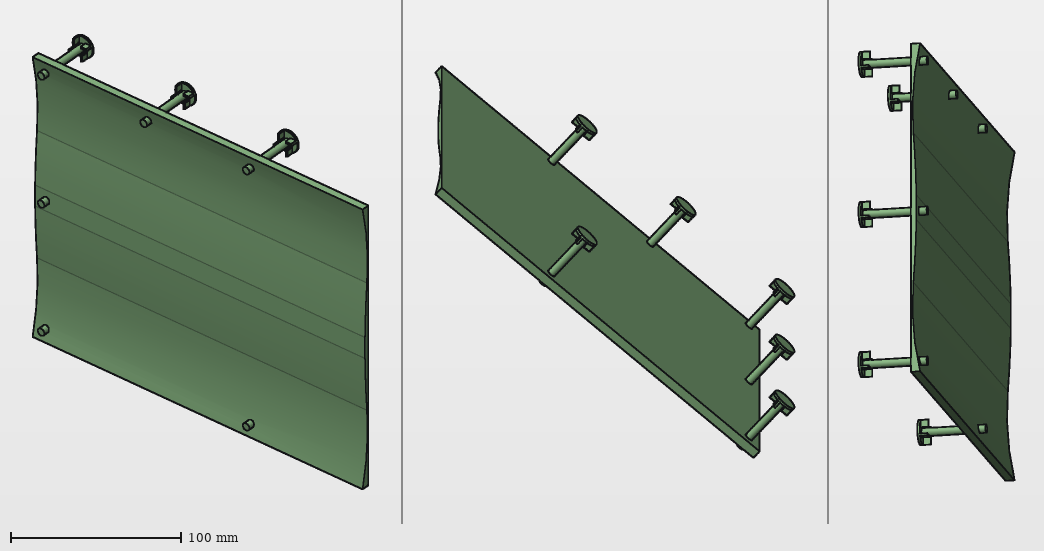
import cadquery as cq

PLATE_LENGTH = 250.0
PLATE_HEIGHT = 200.0
EDGE_THICKNESS = 5.5
VALLEY_THICKNESS = 1.45
CREST_THICKNESS = 3.2
VALLEY_Z = 45.5
CREST_HALF_HEIGHT = 7.5
CONCAVE_BULGE = 2.1
CONVEX_BULGE = 0.28

PIN_LENGTH = 40.0
SHANK_DIAMETER = 5.0
HEAD_DIAMETER = 15.0
HEAD_DISC_THICKNESS = 1.5
HEAD_HEIGHT = 6.0
WALL_COUNT = 4
WALL_THICKNESS = 1.2
WALL_START = 2.2

PLATE_BACK_Y = 8.0
HEAD_DISC_Y = PIN_LENGTH - HEAD_DISC_THICKNESS
HEAD_FRONT_Y = PIN_LENGTH - HEAD_HEIGHT

PIN_EDGE_INSET = 8.5
PIN_INTERVALS_X = 3
PIN_PITCH_X = (PLATE_LENGTH - 2 * PIN_EDGE_INSET) / PIN_INTERVALS_X
PIN_X_LEFT = PIN_EDGE_INSET - PLATE_LENGTH / 2
PIN_X_MIDDLE = PIN_X_LEFT + PIN_PITCH_X
PIN_X_RIGHT = PIN_X_MIDDLE + PIN_PITCH_X
PIN_Z = PLATE_HEIGHT / 2 - PIN_EDGE_INSET
PIN_POSITIONS = [
    (PIN_X_LEFT, PIN_Z),
    (PIN_X_MIDDLE, PIN_Z),
    (PIN_X_RIGHT, PIN_Z),
    (PIN_X_LEFT, 0),
    (PIN_X_LEFT, -PIN_Z),
    (PIN_X_RIGHT, -PIN_Z),
]


def cylinder_along_y(diameter, start_y, end_y):
    """Cylinder on the Y axis between two Y positions."""
    circle = cq.Workplane("XZ", origin=(0, start_y, 0)).circle(diameter / 2)
    return circle.extrude(start_y - end_y)


def arc_middle(start, end, bulge):
    """Middle point of a shallow arc between two (Y, Z) points; a positive bulge goes toward +Y."""
    return ((start[0] + end[0]) / 2 + bulge, (start[1] + end[1]) / 2)


def make_plate():
    """Flat-backed plate with a wavy front, drilled for the pins."""
    half_height = PLATE_HEIGHT / 2
    edge_y = PLATE_BACK_Y - EDGE_THICKNESS
    valley_y = PLATE_BACK_Y - VALLEY_THICKNESS
    crest_y = PLATE_BACK_Y - CREST_THICKNESS

    top_edge = (edge_y, half_height)
    top_valley = (valley_y, VALLEY_Z)
    top_crest = (crest_y, CREST_HALF_HEIGHT)
    bottom_crest = (crest_y, -CREST_HALF_HEIGHT)
    bottom_valley = (valley_y, -VALLEY_Z)
    bottom_edge = (edge_y, -half_height)

    plate = (
        cq.Workplane("YZ", origin=(-PLATE_LENGTH / 2, 0, 0))
        .moveTo(PLATE_BACK_Y, half_height)
        .lineTo(*top_edge)
        .threePointArc(arc_middle(top_edge, top_valley, CONCAVE_BULGE), top_valley)
        .threePointArc(arc_middle(top_valley, top_crest, -CONVEX_BULGE), top_crest)
        .lineTo(*bottom_crest)
        .threePointArc(arc_middle(bottom_crest, bottom_valley, -CONVEX_BULGE), bottom_valley)
        .threePointArc(arc_middle(bottom_valley, bottom_edge, CONCAVE_BULGE), bottom_edge)
        .lineTo(PLATE_BACK_Y, -half_height)
        .close()
        .extrude(PLATE_LENGTH)
    )
    hole = cylinder_along_y(SHANK_DIAMETER, 0, PIN_LENGTH)
    for x, z in PIN_POSITIONS:
        plate = plate.cut(hole.translate((x, 0, z)))
    return plate


def make_head_walls():
    """Pinwheel of straight walls beside the shank, each ending flush with the rim of the head."""
    head_radius = HEAD_DIAMETER / 2
    wall_height = HEAD_DISC_Y - HEAD_FRONT_Y
    wall = (
        cq.Workplane("XY")
        .box(WALL_THICKNESS, wall_height, head_radius - WALL_START, centered=False)
        .translate((-SHANK_DIAMETER / 2 - WALL_THICKNESS, HEAD_FRONT_Y, WALL_START))
        .intersect(cylinder_along_y(HEAD_DIAMETER, HEAD_FRONT_Y, HEAD_DISC_Y))
    )
    walls = wall
    for turn in range(1, WALL_COUNT):
        walls = walls.union(wall.rotate((0, 0, 0), (0, 1, 0), turn * 360 / WALL_COUNT))
    return walls


def make_pin():
    """Shank, head disc and head walls as one solid on the Y axis."""
    shank = cylinder_along_y(SHANK_DIAMETER, 0, PIN_LENGTH)
    disc = cylinder_along_y(HEAD_DIAMETER, HEAD_DISC_Y, PIN_LENGTH)
    return shank.union(disc).union(make_head_walls())


plate = make_plate()

pin = make_pin()
pins = []
for x, z in PIN_POSITIONS:
    pins.append(pin.translate((x, 0, z)).val())

result = cq.Compound.makeCompound([plate.val(), *pins])